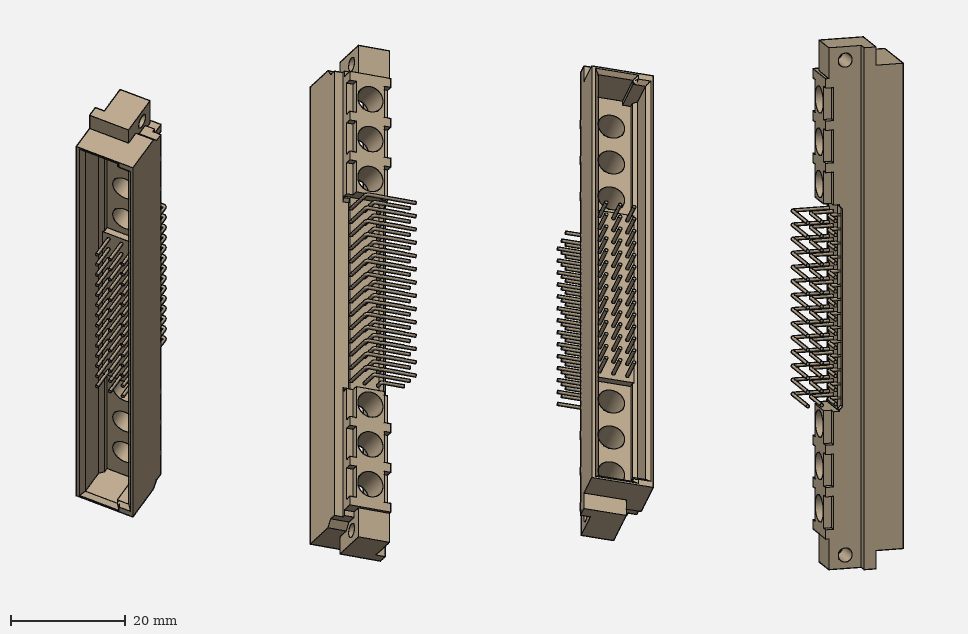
import cadquery as cq

PITCH = 2.5

LENGTH = 94.0
SHROUD_LENGTH = 87.4
REAR_LENGTH = 82.9
SHROUD_WIDTH = 11.2
REAR_LEFT = 1.8
REAR_RIGHT = 9.6
REAR_WIDTH = REAR_RIGHT - REAR_LEFT
MIDDLE_X = (REAR_LEFT + REAR_RIGHT) / 2
SHOULDER_Y = 7.1
SIDE_Y = 10.5
REAR_Y = 13.6

EAR_FRONT_Y = 5.0
EAR_REAR_Y = 13.1
EAR_RIGHT = 7.7
SCREW_DIAMETER = 2.5
SCREW_Y = 10.1
SCREW_Z = 44.6

CLEARANCE_Y = 7.7
CLEARANCE_DROP = 1.2
CLEARANCE_END_Y = 11.2

MOUTH_CHAMFER = 0.75
CAVITY_LENGTH = 85.2
CAVITY_WIDTH = 7.05
CAVITY_LEFT = MIDDLE_X - CAVITY_WIDTH / 2
CAVITY_RIGHT = MIDDLE_X + CAVITY_WIDTH / 2
KEY_LEFT = 7.7
KEY_LENGTH = 83.5
FLOOR_Y = 7.4
SLOPE_Y = 5.7
SLOPE = 0.75

BLOCK_WIDTH = 7.5
BLOCK_LENGTH = 35.4
BLOCK_FRONT_Y = 6.2

OPENING_DIAMETER = 4.8
OPENING_STEPS = (8.5, 11.5, 14.5)
NOTCH_LENGTH = 5.9
NOTCH_BOTTOM_Y = 12.2
NOTCH_DEPTH = 1.2

RECESS_LENGTH = 2 * (OPENING_STEPS[0] * PITCH - NOTCH_LENGTH / 2)
RECESS_Y = 11.1
RECESS_EDGE_WALL = 1.1
RECESS_CHAMFER = 0.8

PIN_DIAMETER = 0.6
PIN_COUNT = 14
PIN_FRONT_Y = 1.8
TAIL_END_X = -1.1
TAIL_FIRST_Y = 12.7
BEND_RADIUS = 0.4


def block(x, y, length):
    """Box over the x and y ranges, centred on Z = 0."""
    return cq.Workplane("XY").box(x[1] - x[0], y[1] - y[0], length).translate(
        (sum(x) / 2, sum(y) / 2, 0)
    )


def both_ends(shape):
    """The shape together with its mirror image at the other end of the part."""
    return shape.union(shape.mirror("XY"))


def make_housing():
    shroud = block((0, SHROUD_WIDTH), (0, SHOULDER_Y), SHROUD_LENGTH)
    side = block((REAR_LEFT, SHROUD_WIDTH), (SHOULDER_Y, SIDE_Y), SHROUD_LENGTH)
    middle = block((REAR_LEFT, REAR_RIGHT), (SHOULDER_Y, CLEARANCE_END_Y), SHROUD_LENGTH)
    rear = block((REAR_LEFT, REAR_RIGHT), (SHOULDER_Y, REAR_Y), REAR_LENGTH)
    body = shroud.union(side).union(middle).union(rear).cut(screw_clearance())
    ears = block((0, EAR_RIGHT), (EAR_FRONT_Y, SHOULDER_Y), LENGTH).union(
        block((REAR_LEFT, EAR_RIGHT), (SHOULDER_Y, EAR_REAR_Y), LENGTH)
    )
    return body.union(ears)


def screw_clearance():
    top = SHROUD_LENGTH / 2
    low = top - CLEARANCE_DROP
    wedge = (
        cq.Workplane("YZ", origin=(EAR_RIGHT, 0, 0))
        .moveTo(CLEARANCE_Y, top)
        .lineTo(CLEARANCE_Y + CLEARANCE_DROP, low)
        .lineTo(CLEARANCE_END_Y, low)
        .lineTo(CLEARANCE_END_Y, top)
        .close()
        .extrude(SHROUD_WIDTH - EAR_RIGHT)
    )
    return both_ends(wedge)


def screw_holes():
    hole = (
        cq.Workplane("YZ")
        .center(SCREW_Y, SCREW_Z)
        .circle(SCREW_DIAMETER / 2)
        .extrude(SHROUD_WIDTH)
    )
    return both_ends(hole)


def keyed_prism(grow, depth, taper=0):
    """Prism going back from the mouth, its keyed outline enlarged all round by grow."""
    left = CAVITY_LEFT - SLOPE - grow
    right = CAVITY_RIGHT + SLOPE + grow
    key = KEY_LEFT + grow
    tall = CAVITY_LENGTH / 2 + grow
    short = KEY_LENGTH / 2 + grow
    return (
        cq.Workplane("XZ")
        .polyline(
            [
                (left, -tall),
                (key, -tall),
                (key, -short),
                (right, -short),
                (right, short),
                (key, short),
                (key, tall),
                (left, tall),
            ]
        )
        .close()
        .extrude(-depth, taper=taper)
    )


def cavity():
    """Keyed cavity whose long walls slope inward just above the floor, with a chamfered mouth."""
    slope_end_y = SLOPE_Y + SLOPE
    profile = (
        cq.Workplane("XY", origin=(0, 0, -CAVITY_LENGTH / 2))
        .moveTo(CAVITY_LEFT - SLOPE, 0)
        .lineTo(CAVITY_LEFT - SLOPE, SLOPE_Y)
        .lineTo(CAVITY_LEFT, slope_end_y)
        .lineTo(CAVITY_LEFT, FLOOR_Y)
        .lineTo(CAVITY_RIGHT, FLOOR_Y)
        .lineTo(CAVITY_RIGHT, slope_end_y)
        .lineTo(CAVITY_RIGHT + SLOPE, SLOPE_Y)
        .lineTo(CAVITY_RIGHT + SLOPE, 0)
        .close()
        .extrude(CAVITY_LENGTH)
    )
    straight = keyed_prism(0, FLOOR_Y).intersect(profile)
    mouth = keyed_prism(MOUTH_CHAMFER, MOUTH_CHAMFER, taper=45)
    return straight.union(mouth)


def contact_block():
    half = BLOCK_WIDTH / 2
    return block((MIDDLE_X - half, MIDDLE_X + half), (BLOCK_FRONT_Y, FLOOR_Y), BLOCK_LENGTH)


def contact_openings():
    openings = (
        cq.Workplane("XZ")
        .pushPoints([(MIDDLE_X, step * PITCH) for step in OPENING_STEPS])
        .circle(OPENING_DIAMETER / 2)
        .extrude(-REAR_Y)
    )
    return both_ends(openings)


def notches():
    left = block((REAR_LEFT, REAR_LEFT + NOTCH_DEPTH), (NOTCH_BOTTOM_Y, REAR_Y), NOTCH_LENGTH)
    right = block((REAR_RIGHT - NOTCH_DEPTH, REAR_RIGHT), (NOTCH_BOTTOM_Y, REAR_Y), NOTCH_LENGTH)
    pair = left.union(right)
    row = cq.Workplane("XY")
    for step in OPENING_STEPS:
        row = row.union(pair.translate((0, 0, step * PITCH)))
    return both_ends(row)


def tail_recess():
    half = RECESS_LENGTH / 2
    inner = block((REAR_LEFT, REAR_RIGHT), (RECESS_Y, REAR_Y), RECESS_LENGTH)
    wall_cut = (
        cq.Workplane("YZ", origin=(REAR_LEFT, 0, 0))
        .moveTo(SIDE_Y, RECESS_CHAMFER - half)
        .lineTo(SIDE_Y + RECESS_CHAMFER, -half)
        .lineTo(REAR_Y, -half)
        .lineTo(REAR_Y, half)
        .lineTo(SIDE_Y + RECESS_CHAMFER, half)
        .lineTo(SIDE_Y, half - RECESS_CHAMFER)
        .close()
    )
    left = wall_cut.extrude(RECESS_EDGE_WALL)
    right = left.translate((REAR_WIDTH - RECESS_EDGE_WALL, 0, 0))
    return inner.union(left).union(right)


def bent_pin(row):
    """Pin of row -1, 0 or 1, running back through the housing and bent toward -X."""
    x = MIDDLE_X + row * PITCH
    tail_y = TAIL_FIRST_Y + (row + 1) * PITCH
    path = (
        cq.Workplane("XY")
        .moveTo(x, PIN_FRONT_Y)
        .lineTo(x, tail_y - BEND_RADIUS)
        .tangentArcPoint((x - BEND_RADIUS, tail_y), relative=False)
        .lineTo(TAIL_END_X, tail_y)
    )
    return (
        cq.Workplane("XZ", origin=(x, PIN_FRONT_Y, 0))
        .circle(PIN_DIAMETER / 2)
        .sweep(path)
    )


def pin_field():
    """All the pins, as a list of solids."""
    pins = []
    for row in (-1, 0, 1):
        pin = bent_pin(row)
        for index in range(PIN_COUNT):
            z = (index - (PIN_COUNT - 1) / 2) * PITCH
            pins.append(pin.val().translate(cq.Vector(0, 0, z)))
    return pins


housing = (
    make_housing()
    .cut(screw_holes())
    .cut(cavity())
    .cut(contact_openings())
    .cut(notches())
    .cut(tail_recess())
    .union(contact_block())
)
result = cq.Workplane("XY").newObject([housing.val().fuse(*pin_field())])